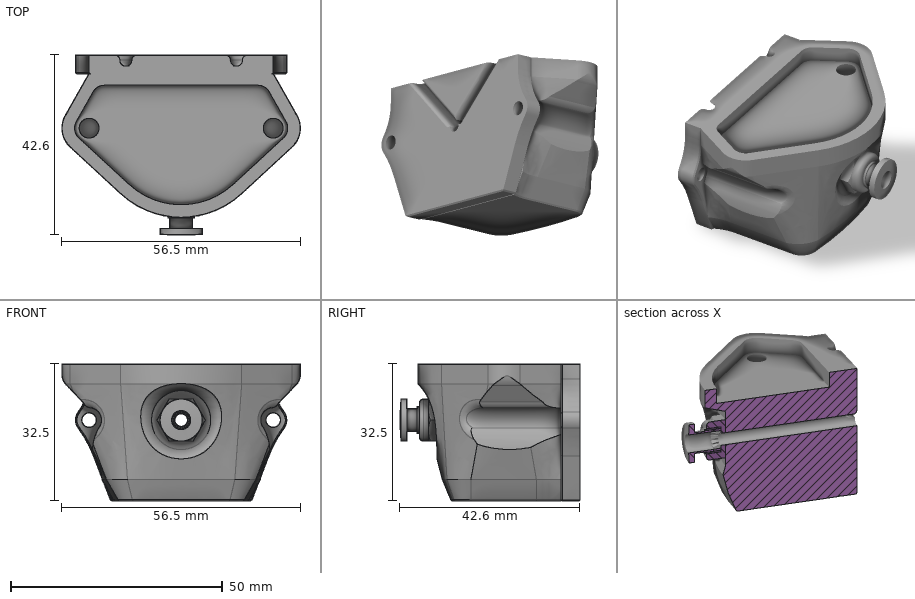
import cadquery as cq
import math

HEIGHT = 32.5
BAND_BOTTOM = 27.8
BASE_TOP = 5.1
EDGE_CHAMFER = 0.35
PORT_Z = 19.2
EAR_X = 21.8

HALF_LENGTH = 28.25
SIDE_RADIUS = 6.1
FRONT_RADIUS = 21.15
ROUND_CENTRE_Y = -17.3
SIDE_CENTRE_X = HALF_LENGTH - SIDE_RADIUS
FLANK_ANGLE = math.radians(29.5)

BASE_FLARE_Y = -7.05
BASE_SIDE_BACK_Y = -10.35
BASE_SIDE_FRONT_Y = -25.9
WAIST = {"half_widths": (18.75, 17.7, 15.55, 12.7), "front_depths": (-29.8, -31.5, -32.65), "flare": 0.2}
FOOT = {"half_widths": (16.05, 15.0, 14.1, 11.6), "front_depths": (-28.4, -29.9, -30.6), "flare": 0.2}

FLANGE_THICKNESS = 4.45
EAR_RADIUS = 3.2
EAR_HOLE_DIAMETER = 3.4
EAR_BLEND_TOP = 28.9
EAR_BLEND_RADIUS = ((EAR_BLEND_TOP - PORT_Z) ** 2 - EAR_RADIUS**2) / (2 * EAR_RADIUS)
EAR_TANGENT_ANGLE = math.atan((EAR_BLEND_TOP - PORT_Z) / EAR_BLEND_RADIUS)
FLANGE_WAIST = (20.8, 10.75)
FLANGE_FOOT = (16.65, 0.0)

POCKET_INSET = 3.0
POCKET_BACK_Y = -7.1
POCKET_DEPTH = 3.8
POCKET_CORNER_RADIUS = 3.05
MAGNET_HOLE_DIAMETER = 4.7
MAGNET_HOLE_DEPTH = 3.4

SCOOP_RADIUS = 2.95
SCOOP_REACH = HALF_LENGTH + 2.8
SCOOP_LIP_TOP = 29.7
SCOOP_LIP_MID = (27.85, 28.4)
SCOOP_LIP_FOOT = (27.0, 27.35)
SCOOP_BROW_TOP = (23.3, 23.45)
SCOOP_BROW_MID = (22.6, 22.6)
SCOOP_LEAVE_ANGLE = math.radians(219)
SCOOP_RUN_OUT = (20.6, -26.3, 19.8)
SCOOP_RUN_OUT_RADIUS = 2.25
SCOOP_FOOT = (21.0, 12.15)
SCOOP_FOOT_MID = (20.45, 15.25)

GROOVE_X = 13.1
GROOVE_RADIUS = 1.4
GROOVE_CENTRE_DEPTH = 1.2
GROOVE_MOUTH_HALF_WIDTH = 2.55
GROOVE_FLARE_MID = (1.75, -0.35)

RECESS_DIAMETER = 14.0
RECESS_FLOOR_Y = -33.3
BORE_DIAMETER = 3.0
MOUTH_HALF_WIDTH = 14.4
MOUTH_HALF_HEIGHT = 9.8
MOUTH_CENTRE = (-36.55, 18.55)
MOUTH_TILT = math.radians(14)

HEX_ACROSS_FLATS = 9.95
HEX_END_Y = -35.95
HEX_CHAMFER_ANGLE = math.radians(30)
COLLAR_END_Y = -38.1
COLLAR_ROUND = 0.95
SLEEVE_DIAMETER = 6.3
SLEEVE_END_Y = -38.6
SEAT_Y = -34.45
NECK_DIAMETER = 5.5
BUTTON_DIAMETER = 10.0
BUTTON_BACK_Y = -41.0
BUTTON_RIM_Y = -42.45
BUTTON_TIP_Y = -42.6
BUTTON_BORE = 4.5
GRIPPER_END_Y = -36.15
GRIPPER_CONE_Y = -35.05
GRIPPER_MOUTH_DIAMETER = 3.95
FINGER_COUNT = 10
FINGER_SLOT_WIDTH = 0.4
FINGER_SLOT_DIAMETER = 4.4


def rim_outline(back_y, inset):
    """Rim outline: straight back and flanks, rounded sides and one wide front round."""
    side_radius = SIDE_RADIUS - inset
    front_radius = FRONT_RADIUS - inset
    front_sin = (FRONT_RADIUS - SIDE_RADIUS) / SIDE_CENTRE_X
    front_cos = math.sqrt(1 - front_sin**2)

    upper_x = SIDE_CENTRE_X + side_radius * math.cos(FLANK_ANGLE)
    upper_y = ROUND_CENTRE_Y + side_radius * math.sin(FLANK_ANGLE)
    back_x = upper_x - (back_y - upper_y) * math.tan(FLANK_ANGLE)
    side_x = SIDE_CENTRE_X + side_radius
    lower_x = SIDE_CENTRE_X + side_radius * front_sin
    lower_y = ROUND_CENTRE_Y - side_radius * front_cos
    front_x = front_radius * front_sin
    front_y = ROUND_CENTRE_Y - front_radius * front_cos
    return (
        cq.Workplane("XY")
        .moveTo(-back_x, back_y)
        .lineTo(-upper_x, upper_y)
        .threePointArc((-side_x, ROUND_CENTRE_Y), (-lower_x, lower_y))
        .lineTo(-front_x, front_y)
        .threePointArc((0, ROUND_CENTRE_Y - front_radius), (front_x, front_y))
        .lineTo(lower_x, lower_y)
        .threePointArc((side_x, ROUND_CENTRE_Y), (upper_x, upper_y))
        .lineTo(back_x, back_y)
        .close()
    )


def base_outline(section, inset=0):
    """Base outline with the same eight edges as the rim, so that the two can be joined."""
    back_x, side_x, corner_x, front_x = [x - inset for x in section["half_widths"]]
    corner_y, front_y, nose_y = [y + inset for y in section["front_depths"]]
    flare_x = side_x + section["flare"]
    return (
        cq.Workplane("XY")
        .moveTo(-back_x, -FLANGE_THICKNESS)
        .threePointArc((-flare_x, BASE_FLARE_Y), (-side_x, BASE_SIDE_BACK_Y))
        .lineTo(-side_x, BASE_SIDE_FRONT_Y)
        .threePointArc((-corner_x, corner_y), (-front_x, front_y))
        .threePointArc((0, nose_y), (front_x, front_y))
        .threePointArc((corner_x, corner_y), (side_x, BASE_SIDE_FRONT_Y))
        .lineTo(side_x, BASE_SIDE_BACK_Y)
        .threePointArc((flare_x, BASE_FLARE_Y), (back_x, -FLANGE_THICKNESS))
        .close()
    )


def wire_at(outline, z):
    return outline.val().moved(cq.Location(cq.Vector(0, 0, z)))


def body_shell():
    """Straight rim, tapered body, steeper base and bottom chamfer, in front of the flange."""
    rim = rim_outline(-FLANGE_THICKNESS, 0)
    waist = base_outline(WAIST)
    levels = [
        wire_at(base_outline(FOOT, EDGE_CHAMFER), 0),
        wire_at(base_outline(FOOT), EDGE_CHAMFER),
        wire_at(waist, BASE_TOP),
        wire_at(rim, BAND_BOTTOM),
    ]
    shell = rim.extrude(HEIGHT - BAND_BOTTOM).translate((0, 0, BAND_BOTTOM))
    for lower, upper in zip(levels, levels[1:]):
        shell = shell.union(cq.Solid.makeLoft([lower, upper], True))
    return shell


def flange():
    """Back plate with an ear on each side; the +X half is mirrored."""
    ear_dx = EAR_RADIUS * math.cos(EAR_TANGENT_ANGLE)
    ear_dz = EAR_RADIUS * math.sin(EAR_TANGENT_ANGLE)
    half = (
        cq.Workplane("XZ")
        .moveTo(0, HEIGHT)
        .lineTo(EAR_X, HEIGHT)
        .lineTo(EAR_X, EAR_BLEND_TOP)
        .tangentArcPoint((EAR_X + ear_dx, PORT_Z + ear_dz), relative=False)
        .threePointArc((EAR_X + EAR_RADIUS, PORT_Z), (EAR_X + ear_dx, PORT_Z - ear_dz))
        .tangentArcPoint(FLANGE_WAIST, relative=False)
        .tangentArcPoint(FLANGE_FOOT, relative=False)
        .lineTo(0, 0)
        .close()
        .extrude(FLANGE_THICKNESS)
    )
    plate = half.union(half.mirror("YZ"))
    below_blend = cq.selectors.BoxSelector(
        (-HALF_LENGTH, -HALF_LENGTH, EDGE_CHAMFER), (HALF_LENGTH, HALF_LENGTH, EAR_BLEND_TOP - EAR_RADIUS)
    )
    plate = plate.faces("<Y").edges(below_blend).chamfer(EDGE_CHAMFER)
    return plate.faces("<Z").edges().chamfer(EDGE_CHAMFER)


def scoop():
    """Cutter for the +X side: a channel round the ear hole, opening upward at 45 degrees."""
    leave = (
        EAR_X + SCOOP_RADIUS * math.cos(SCOOP_LEAVE_ANGLE),
        PORT_Z + SCOOP_RADIUS * math.sin(SCOOP_LEAVE_ANGLE),
    )
    return (
        cq.Workplane("XZ", origin=(0, -FLANGE_THICKNESS, 0))
        .moveTo(SCOOP_REACH, SCOOP_LIP_TOP)
        .lineTo(HALF_LENGTH, SCOOP_LIP_TOP)
        .threePointArc(SCOOP_LIP_MID, SCOOP_LIP_FOOT)
        .lineTo(*SCOOP_BROW_TOP)
        .threePointArc(SCOOP_BROW_MID, (EAR_X, PORT_Z + SCOOP_RADIUS))
        .threePointArc((EAR_X - SCOOP_RADIUS, PORT_Z), leave)
        .threePointArc(SCOOP_FOOT_MID, SCOOP_FOOT)
        .lineTo(SCOOP_REACH, SCOOP_FOOT[1])
        .close()
        .extrude(HALF_LENGTH)
    )


def pocket():
    outline = rim_outline(POCKET_BACK_Y, POCKET_INSET)
    cutter = outline.extrude(POCKET_DEPTH).edges("|Z and >Y").fillet(POCKET_CORNER_RADIUS)
    holes = (
        cq.Workplane("XY")
        .pushPoints([(-EAR_X, ROUND_CENTRE_Y), (EAR_X, ROUND_CENTRE_Y)])
        .circle(MAGNET_HOLE_DIAMETER / 2)
        .extrude(-MAGNET_HOLE_DEPTH)
    )
    return cutter.union(holes).translate((0, 0, HEIGHT - POCKET_DEPTH))


def groove():
    """Cutter for the +X groove: a bell-shaped section that slopes down to the bore."""
    flare_x, flare_y = GROOVE_FLARE_MID
    section = (
        cq.Workplane("XY", origin=(GROOVE_X, 0, HEIGHT))
        .moveTo(-GROOVE_MOUTH_HALF_WIDTH, 0)
        .threePointArc((-flare_x, flare_y), (-GROOVE_RADIUS, -GROOVE_CENTRE_DEPTH))
        .threePointArc((0, -GROOVE_CENTRE_DEPTH - GROOVE_RADIUS), (GROOVE_RADIUS, -GROOVE_CENTRE_DEPTH))
        .threePointArc((flare_x, flare_y), (GROOVE_MOUTH_HALF_WIDTH, 0))
        .close()
    )
    slope = cq.Vector(-GROOVE_X, 0, PORT_Z - HEIGHT)
    return cq.Workplane(cq.Solid.extrudeLinear(section.val(), [], slope))


def recess():
    """Cutter for the fitting seat: a round floor that flares out to a tilted oval mouth."""
    x_axis = cq.Vector(1, 0, 0)
    floor_radius = RECESS_DIAMETER / 2
    floor = cq.Wire.makeEllipse(
        floor_radius, floor_radius, cq.Vector(0, RECESS_FLOOR_Y, PORT_Z), cq.Vector(0, -1, 0), x_axis
    )
    mouth = cq.Wire.makeEllipse(
        MOUTH_HALF_WIDTH,
        MOUTH_HALF_HEIGHT,
        cq.Vector(0, *MOUTH_CENTRE),
        cq.Vector(0, -math.cos(MOUTH_TILT), -math.sin(MOUTH_TILT)),
        x_axis,
    )
    return cq.Workplane(cq.Solid.makeLoft([floor, mouth], True))


def round_bar(diameter, back_y, front_y):
    """Cylinder on the fitting axis."""
    return cq.Workplane("XZ", origin=(0, back_y, PORT_Z)).circle(diameter / 2).extrude(back_y - front_y)


def make_housing():
    ear_holes = (
        cq.Workplane("XZ")
        .pushPoints([(-EAR_X, PORT_Z), (EAR_X, PORT_Z)])
        .circle(EAR_HOLE_DIAMETER / 2)
        .extrude(FLANGE_THICKNESS)
    )
    body = body_shell()
    for side_scoop in (scoop(), scoop().mirror("YZ")):
        body = body.cut(side_scoop)
    for side in (-1, 1):
        run_out = cq.selectors.NearestToPointSelector((side * SCOOP_RUN_OUT[0], *SCOOP_RUN_OUT[1:]))
        body = body.edges(run_out).fillet(SCOOP_RUN_OUT_RADIUS)
    body = body.union(flange())
    body = body.cut(pocket()).cut(ear_holes)
    body = body.cut(recess()).cut(round_bar(BORE_DIAMETER, 0, RECESS_FLOOR_Y))
    return body.cut(groove()).cut(groove().mirror("YZ"))


def make_fitting():
    """Hexagon with chamfered corners and a rounded collar, bored for the sleeve."""
    across_corners = HEX_ACROSS_FLATS / math.cos(math.radians(30))
    hex_length = RECESS_FLOOR_Y - HEX_END_Y
    hexagon = (
        cq.Workplane("XZ", origin=(0, RECESS_FLOOR_Y, PORT_Z))
        .polygon(6, across_corners)
        .extrude(hex_length)
    )
    cone_spread = hex_length / math.tan(HEX_CHAMFER_ANGLE)
    chamfer_cone = cq.Solid.makeCone(
        HEX_ACROSS_FLATS / 2 + cone_spread,
        HEX_ACROSS_FLATS / 2,
        hex_length,
        cq.Vector(0, RECESS_FLOOR_Y, PORT_Z),
        cq.Vector(0, -1, 0),
    )
    collar = round_bar(HEX_ACROSS_FLATS, HEX_END_Y, COLLAR_END_Y).faces("<Y").edges().fillet(COLLAR_ROUND)
    solid = hexagon.intersect(cq.Workplane(chamfer_cone)).union(collar)
    solid = solid.cut(round_bar(SLEEVE_DIAMETER, SEAT_Y, COLLAR_END_Y))
    return solid.cut(round_bar(BORE_DIAMETER, RECESS_FLOOR_Y, SEAT_Y))


def make_sleeve():
    """Tube in the fitting that guides the button and holds the gripper."""
    outside = round_bar(SLEEVE_DIAMETER, SEAT_Y, SLEEVE_END_Y)
    return outside.cut(round_bar(NECK_DIAMETER, SEAT_Y, SLEEVE_END_Y))


def make_button():
    """Release button: a bored neck and a flange whose front face is slightly conical."""
    profile = [
        (BUTTON_BORE / 2, GRIPPER_END_Y),
        (NECK_DIAMETER / 2, GRIPPER_END_Y),
        (NECK_DIAMETER / 2, BUTTON_BACK_Y),
        (BUTTON_DIAMETER / 2, BUTTON_BACK_Y),
        (BUTTON_DIAMETER / 2, BUTTON_RIM_Y),
        (BUTTON_BORE / 2, BUTTON_TIP_Y),
    ]
    button = cq.Workplane("XY").polyline(profile).close().revolve(360, (0, 0, 0), (0, 1, 0))
    return button.translate((0, 0, PORT_Z))


def make_gripper():
    """Ring behind the button whose conical mouth is slotted into fingers."""
    profile = [
        (BORE_DIAMETER / 2, SEAT_Y),
        (NECK_DIAMETER / 2, SEAT_Y),
        (NECK_DIAMETER / 2, GRIPPER_END_Y),
        (GRIPPER_MOUTH_DIAMETER / 2, GRIPPER_END_Y),
        (BORE_DIAMETER / 2, GRIPPER_CONE_Y),
    ]
    ring = cq.Workplane("XY").polyline(profile).close().revolve(360, (0, 0, 0), (0, 1, 0))
    ring = ring.translate((0, 0, PORT_Z))
    slots = (
        cq.Workplane("XZ", origin=(0, SEAT_Y, PORT_Z))
        .polarArray(FINGER_SLOT_DIAMETER / 4, 180 / FINGER_COUNT, 360, FINGER_COUNT)
        .rect(FINGER_SLOT_DIAMETER / 2, FINGER_SLOT_WIDTH)
        .extrude(SEAT_Y - GRIPPER_END_Y)
    )
    return ring.cut(slots)


housing = make_housing()
fitting = make_fitting()
sleeve = make_sleeve()
button = make_button()
gripper = make_gripper()

result = cq.Compound.makeCompound(
    [housing.val(), fitting.val(), sleeve.val(), button.val(), gripper.val()]
)